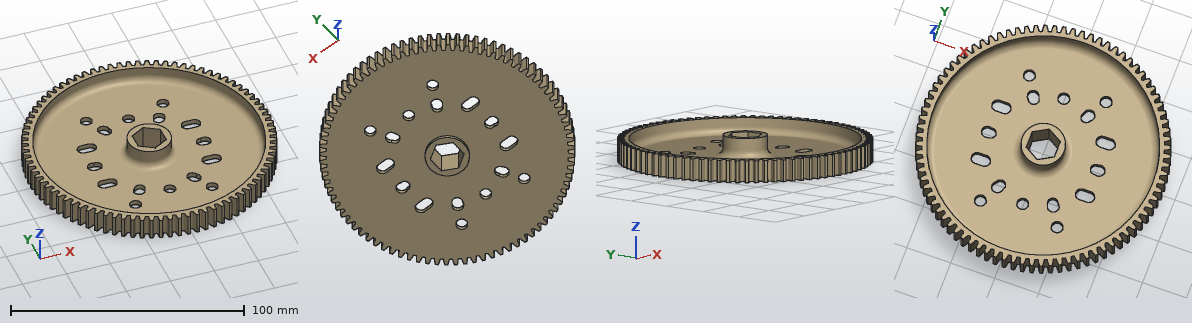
import cadquery as cq
import math

TIP_DIAMETER = 109.2
TOOTH_COUNT = 84
PRESSURE_ANGLE = math.radians(15)
DEDENDUM_RATIO = 1.25
FLANK_STEPS = 4
ROOT_ROUND_HEIGHT = 0.2
MODULE = TIP_DIAMETER / (TOOTH_COUNT + 2)
TIP_RADIUS = TIP_DIAMETER / 2
PITCH_RADIUS = MODULE * TOOTH_COUNT / 2
BASE_RADIUS = PITCH_RADIUS * math.cos(PRESSURE_ANGLE)
ROOT_RADIUS = PITCH_RADIUS - DEDENDUM_RATIO * MODULE
FLANK_START_RADIUS = ROOT_RADIUS + ROOT_ROUND_HEIGHT
TOOTH_PITCH = 2 * math.pi / TOOTH_COUNT

RIM_WIDTH = 9.5
POCKET_RADIUS = 49.8
POCKET_DEPTH = 7.2
BLEND_RADIUS = 3.2
HUB_DIAMETER = 19.0
HUB_LENGTH = 12.7
HUB_RADIUS = HUB_DIAMETER / 2
HEX_ACROSS_FLATS = 12.8
RIM_TOP = RIM_WIDTH / 2
WEB_TOP = RIM_TOP - POCKET_DEPTH

HOLE_DIAMETER = 5.0
NOTCH_WIDTH = 4.6
BOLT_RADIUS = 25.4
NOTCH_RADIUS = 23.9
OUTER_BOLT_RADIUS = 34.9
OUTER_BOLT_DEGREES = (60, 120, 240, 300)
BOLT_DEGREES = (0, 60, 90, 120, 180, 240, 270, 300)
NOTCH_COUNT = 6
SLOT_ANGLE = math.radians(30)


def polar(radius, angle):
    return (radius * math.cos(angle), radius * math.sin(angle))


def involute_angle(radius):
    """Polar angle swept by the involute between the base circle and a radius."""
    roll = math.acos(BASE_RADIUS / radius)
    return math.tan(roll) - roll


def half_gap(radius):
    """Half the angle of the gap between two teeth at a radius."""
    return TOOTH_PITCH / 4 + involute_angle(radius) - involute_angle(PITCH_RADIUS)


def flank(gap_angle, side):
    """Points of one flank from root rounding to tip; side is -1 or +1 about the gap centre."""
    rise = (TIP_RADIUS - FLANK_START_RADIUS) / FLANK_STEPS
    radii = [FLANK_START_RADIUS + rise * step for step in range(FLANK_STEPS + 1)]
    return [polar(r, gap_angle + side * half_gap(r)) for r in radii]


def toothed_blank():
    """Solid disc with involute teeth and smoothly rounded gaps, one of them on the +X axis."""
    outline = cq.Workplane("XY").workplane(offset=-RIM_TOP).moveTo(*flank(0, -1)[-1])
    for index in range(TOOTH_COUNT):
        gap_angle = index * TOOTH_PITCH
        falling = flank(gap_angle, -1)[::-1]
        rising = flank(gap_angle, 1)
        next_tip = flank(gap_angle + TOOTH_PITCH, -1)[-1]
        root_point = polar(ROOT_RADIUS, gap_angle)
        tip_point = polar(TIP_RADIUS, gap_angle + TOOTH_PITCH / 2)
        outline = outline.spline(falling[1:] + [root_point] + rising, includeCurrent=True)
        outline = outline.threePointArc(tip_point, next_tip)
    return outline.close().extrude(RIM_WIDTH)


def pocket():
    """Ring-shaped recess above the web, rounded where the floor meets rim and hub."""
    profile = (
        cq.Workplane("XZ")
        .moveTo(HUB_RADIUS, RIM_TOP)
        .lineTo(HUB_RADIUS, WEB_TOP + BLEND_RADIUS)
        .radiusArc((HUB_RADIUS + BLEND_RADIUS, WEB_TOP), -BLEND_RADIUS)
        .lineTo(POCKET_RADIUS - BLEND_RADIUS, WEB_TOP)
        .radiusArc((POCKET_RADIUS, WEB_TOP + BLEND_RADIUS), -BLEND_RADIUS)
        .lineTo(POCKET_RADIUS, RIM_TOP)
        .close()
    )
    return profile.revolve(360, (0, 0, 0), (0, 1, 0))


def drill(diameter, points):
    """Cylinders through the whole width at the given points."""
    base = cq.Workplane("XY").workplane(offset=-RIM_TOP)
    return base.pushPoints(points).circle(diameter / 2).extrude(RIM_WIDTH)


def circle_points(radius, degrees):
    return [polar(radius, math.radians(angle)) for angle in degrees]


def slots():
    """Four slots along X, each starting on the bolt circle at the slot angle from X."""
    inner_x, slot_y = polar(BOLT_RADIUS, SLOT_ANGLE)
    slot_x = (inner_x + BOLT_RADIUS) / 2
    length = BOLT_RADIUS - inner_x + HOLE_DIAMETER
    centres = [(sx * slot_x, sy * slot_y) for sx in (-1, 1) for sy in (-1, 1)]
    base = cq.Workplane("XY").workplane(offset=-RIM_TOP)
    return base.pushPoints(centres).slot2D(length, HOLE_DIAMETER).extrude(RIM_WIDTH)


def notches():
    """Narrower slots that lengthen the bolt holes at each 60 degrees towards the hub."""
    length = BOLT_RADIUS - NOTCH_RADIUS + NOTCH_WIDTH
    base = cq.Workplane("XY").workplane(offset=-RIM_TOP)
    spokes = base.polarArray((BOLT_RADIUS + NOTCH_RADIUS) / 2, 0, 360, NOTCH_COUNT)
    return spokes.slot2D(length, NOTCH_WIDTH).extrude(RIM_WIDTH)


def hub():
    return cq.Workplane("XY").circle(HUB_RADIUS).extrude(HUB_LENGTH / 2, both=True)


def hex_bore():
    """Hexagonal bore with two corners on the Y axis."""
    across_corners = HEX_ACROSS_FLATS / math.cos(math.radians(30))
    bore = cq.Workplane("XY").polygon(6, across_corners).extrude(HUB_LENGTH / 2, both=True)
    return bore.rotate((0, 0, 0), (0, 0, 1), 30)


result = (
    toothed_blank()
    .cut(pocket())
    .union(hub())
    .cut(hex_bore())
    .cut(drill(HOLE_DIAMETER, circle_points(OUTER_BOLT_RADIUS, OUTER_BOLT_DEGREES)))
    .cut(drill(HOLE_DIAMETER, circle_points(BOLT_RADIUS, BOLT_DEGREES)))
    .cut(notches())
    .cut(slots())
)